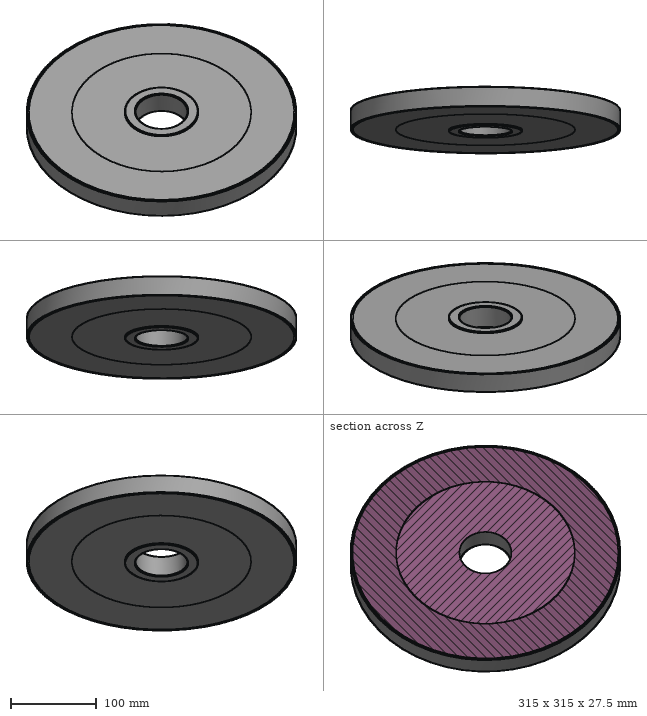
import cadquery as cq

disc_diameter = 315.0
disc_thickness = 24.0
rim_chamfer = 1.0
boss_diameter = 86.0
boss_chamfer = 1.0
hub_length = 27.5
bore_diameter = 60.2
bore_chamfer = 1.3

insert_outer_diameter = 309.3
insert_inner_diameter = 209.2
insert_cover = 0.5
insert_thickness = disc_thickness - 2 * insert_cover


def centred_cylinder(diameter, length):
    """Cylinder along Z, centred on the origin."""
    return cq.Workplane("XY", origin=(0, 0, -length / 2)).circle(diameter / 2).extrude(length)


def make_insert():
    """Flat ring, which also gives the shape of its cavity in the wheel."""
    outside = centred_cylinder(insert_outer_diameter, insert_thickness)
    return outside.cut(centred_cylinder(insert_inner_diameter, insert_thickness))


def make_wheel(insert):
    """Disc with chamfered rim, bosses and bore, hollowed to hold the insert."""
    disc = centred_cylinder(disc_diameter, disc_thickness).edges("%CIRCLE").chamfer(rim_chamfer)
    boss = centred_cylinder(boss_diameter, hub_length).edges("%CIRCLE").chamfer(boss_chamfer)
    blank = disc.union(boss).cut(centred_cylinder(bore_diameter, hub_length))
    bore_mouths = cq.selectors.RadiusNthSelector(0)
    wheel = blank.faces("<Z or >Z").edges(bore_mouths).chamfer(bore_chamfer)
    return wheel.cut(insert)


insert = make_insert()
wheel = make_wheel(insert)

result = cq.Compound.makeCompound([wheel.val(), insert.val()])